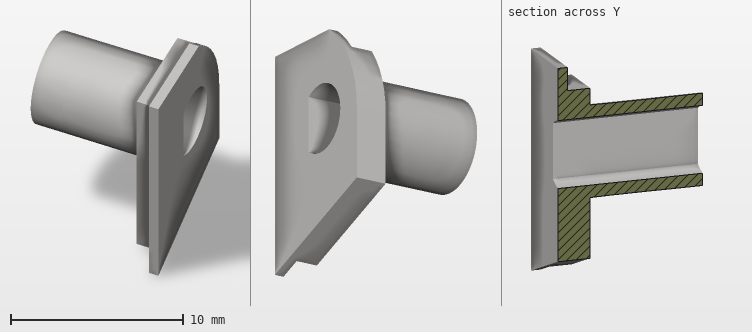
import cadquery as cq
import math


collar_length = 2.0
tube_length = 7.0
block_thickness = 1.4
plate_thickness = 0.6

collar_radius = 2.85
tube_base_radius = 2.86
bore_radius = 2.1
bore_flat_offset = 1.25

plate_width = 8.7
plate_height = 13.42
tall_side_to_axis = 4.85
top_to_axis = 5.22
short_side_bottom_depth = 10.0
corner_radius = 6.9
corner_centre_depth = 5.65

block_setback = 1.4

block_front_x = tube_length
plate_front_x = block_front_x + block_thickness
plate_back_x = plate_front_x + plate_thickness
tall_side_y = -tall_side_to_axis
short_side_y = tall_side_y + plate_width
top_z = top_to_axis
tall_side_bottom_z = top_z - plate_height
short_side_bottom_z = top_z - short_side_bottom_depth
corner_centre_y = short_side_y - corner_radius
corner_centre_z = top_z - corner_centre_depth
bottom_slope = (short_side_bottom_z - tall_side_bottom_z) / plate_width


def point_on_corner(z):
    """Point of the rounded corner at height z."""
    rise = z - corner_centre_z
    return corner_centre_y + math.sqrt(corner_radius**2 - rise**2), z


def corner_midpoint(z_end):
    """Middle of the rounded corner between its tangent point and height z_end."""
    half_angle = math.asin((z_end - corner_centre_z) / corner_radius) / 2
    return (
        corner_centre_y + corner_radius * math.cos(half_angle),
        corner_centre_z + corner_radius * math.sin(half_angle),
    )


def slab(front_x, thickness, setback):
    """Slab with a sloping bottom and one rounded corner, cut back at the tall side and top."""
    side_y = tall_side_y + setback
    upper_z = top_z - setback
    side_bottom_z = tall_side_bottom_z + setback * bottom_slope
    return (
        cq.Workplane("YZ", origin=(front_x, 0, 0))
        .moveTo(side_y, side_bottom_z)
        .lineTo(short_side_y, short_side_bottom_z)
        .lineTo(short_side_y, corner_centre_z)
        .threePointArc(corner_midpoint(upper_z), point_on_corner(upper_z))
        .lineTo(side_y, upper_z)
        .close()
        .extrude(thickness)
    )


def tube():
    """Straight collar at the tip, then a slight taper growing toward the block."""
    return (
        cq.Workplane("XY")
        .lineTo(0, collar_radius)
        .lineTo(collar_length, collar_radius)
        .lineTo(tube_length, tube_base_radius)
        .lineTo(tube_length, 0)
        .close()
        .revolve(360, (0, 0, 0), (1, 0, 0))
    )


def bore():
    """Through bore with a flat on its -Y side."""
    flat_half_height = math.sqrt(bore_radius**2 - bore_flat_offset**2)
    return (
        cq.Workplane("YZ")
        .moveTo(-bore_flat_offset, -flat_half_height)
        .threePointArc((bore_radius, 0), (-bore_flat_offset, flat_half_height))
        .close()
        .extrude(plate_back_x)
    )


plate = slab(plate_front_x, plate_thickness, 0)
block = slab(block_front_x, block_thickness, block_setback)
result = plate.union(block).union(tube()).cut(bore())